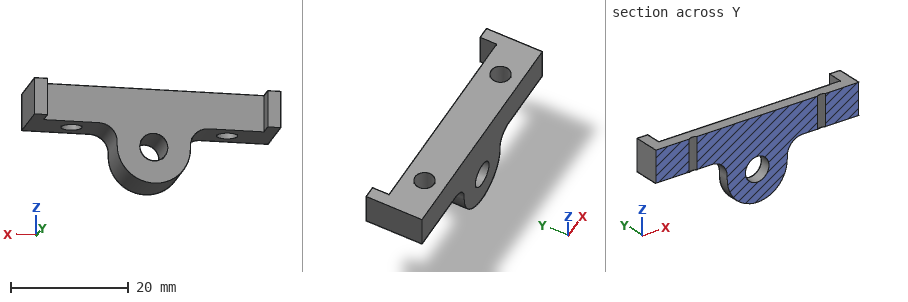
import cadquery as cq

length = 42.65
bar_depth = 7.6
bar_height = 6.4

overall_depth = 10.8
prong_width = 2.25

overall_height = 16.5
lug_radius = 6.35
lug_bore_diameter = 4.82
lug_center_z = lug_radius - overall_height
blend_radius = 3.15

mount_hole_diameter = 3.6
mount_hole_spacing = 26.95


def make_bar():
    """Bar with a prong at each end, flush with its top and bottom."""
    block = cq.Workplane("XY").box(length, overall_depth, bar_height, centered=(True, False, False))
    recess = (
        cq.Workplane("XY")
        .box(length - 2 * prong_width, overall_depth - bar_depth, bar_height, centered=(True, False, False))
        .translate((0, bar_depth, 0))
    )
    return block.cut(recess).translate((0, 0, -bar_height))


def make_lug():
    """Round-ended lug that flares into the underside of the bar."""
    flare_half_width = lug_radius + blend_radius
    blend_end_z = -bar_height - blend_radius
    profile = (
        cq.Workplane("XZ")
        .moveTo(-flare_half_width, 0)
        .lineTo(-flare_half_width, -bar_height)
        .radiusArc((-lug_radius, blend_end_z), blend_radius)
        .lineTo(-lug_radius, lug_center_z)
        .threePointArc((0, -overall_height), (lug_radius, lug_center_z))
        .lineTo(lug_radius, blend_end_z)
        .radiusArc((flare_half_width, -bar_height), blend_radius)
        .lineTo(flare_half_width, 0)
        .close()
    )
    return profile.extrude(-bar_depth)


def make_lug_bore():
    """Bore through the lug along Y, concentric with its round end."""
    return (
        cq.Workplane("XZ")
        .center(0, lug_center_z)
        .circle(lug_bore_diameter / 2)
        .extrude(-bar_depth)
    )


def make_mount_holes():
    """Pair of vertical holes through the bar, midway across its depth."""
    half_spacing = mount_hole_spacing / 2
    return (
        cq.Workplane("XY")
        .pushPoints([(side * half_spacing, bar_depth / 2) for side in (-1, 1)])
        .circle(mount_hole_diameter / 2)
        .extrude(-bar_height)
    )


result = make_bar().union(make_lug()).cut(make_lug_bore()).cut(make_mount_holes())